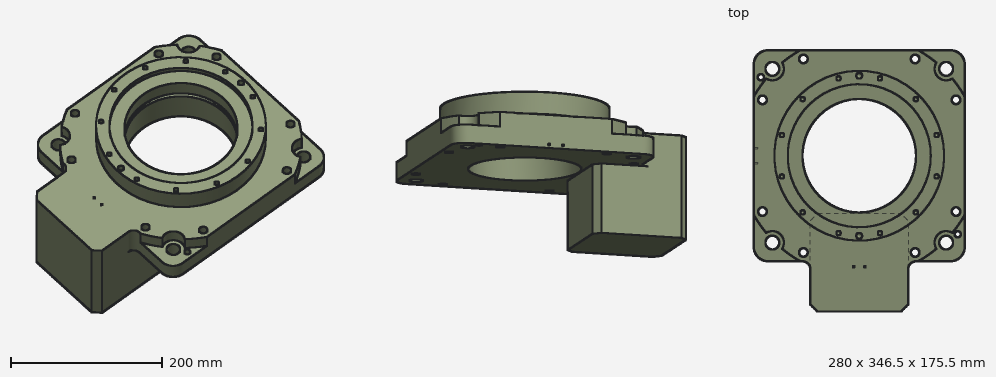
import cadquery as cq
import math


PLATE_SIDE = 280.0
FLANGE_THICKNESS = 25.0
PLATE_THICKNESS = 44.7
PLATE_CORNER_RADIUS = 19.8
BORE_DIAMETER = 150.0

RAISED_RADIUS = 160.0
CORNER_HOLE_OFFSET = 115.0
CORNER_HOLE_DIAMETER = 18.0
CORNER_CLEARANCE_DIAMETER = 30.5

BOLT_HOLE_RADIUS = 148.0
BOLT_HOLE_DIAMETER = 11.0
DOWEL_HOLE_X = 130.3
DOWEL_HOLE_Y = 104.0
DOWEL_HOLE_DIAMETER = 8.0

OVERALL_LENGTH = 346.5
BLOCK_SIDE = 130.0
BLOCK_DROP = 94.0
BLOCK_CHAMFER = 9.7
BLOCK_FILLET = 10.0

DRILL_POINT_ANGLE = 118

TINY_HOLE_DIAMETER = 2.0
TINY_HOLE_DEPTH = 5.2
TOP_TINY_SPACING = 15.0
TOP_TINY_EDGE_DISTANCE = 7.0
SIDE_TINY_SPACING = 19.5
SIDE_TINY_HEIGHT = 5.0

RING_GAP = 7.0
RING_DIAMETER = 225.0
RING_THICKNESS = 29.8
RECESS_DIAMETER = 189.5
RECESS_DEPTH = 7.0
RING_HOLE_RADIUS = 106.0
RING_SCREW_COUNT = 12
RING_SCREW_DIAMETER = 6.0
RING_DOWEL_DIAMETER = 8.0
RING_HOLE_DEPTH = 12.0

HALF_SIDE = PLATE_SIDE / 2
BLOCK_FRONT_Y = HALF_SIDE - OVERALL_LENGTH
BLOCK_CENTER_Y = BLOCK_FRONT_Y + BLOCK_SIDE / 2
RING_BOTTOM = PLATE_THICKNESS + RING_GAP
RING_TOP = RING_BOTTOM + RING_THICKNESS


def cylinder(diameter, bottom, top, points=((0, 0),)):
    """Vertical cylinders between two heights, one at each XY point."""
    return (
        cq.Workplane("XY", origin=(0, 0, bottom))
        .pushPoints(points)
        .circle(diameter / 2)
        .extrude(top - bottom)
    )


def drilled_hole(diameter, depth):
    """Hole going down from the origin, with a conical drill point below its depth."""
    radius = diameter / 2
    tip_depth = radius / math.tan(math.radians(DRILL_POINT_ANGLE / 2))
    return (
        cq.Workplane("XZ")
        .polyline([(0, 0), (radius, 0), (radius, -depth), (0, -depth - tip_depth)])
        .close()
        .revolve(360, (0, 0), (0, 1))
    )


def polar_points(radius, angles):
    """XY points on a circle about the bore axis, at angles in degrees."""
    return [
        (radius * math.cos(math.radians(a)), radius * math.sin(math.radians(a)))
        for a in angles
    ]


def square_points(offset):
    """The four XY points at plus and minus the offset in X and Y."""
    return [(sx * offset, sy * offset) for sx in (-1, 1) for sy in (-1, 1)]


def make_plate_blank():
    """Rounded square plate with its corners cut down to the flange."""
    plate = (
        cq.Workplane("XY")
        .rect(PLATE_SIDE, PLATE_SIDE)
        .extrude(PLATE_THICKNESS)
        .edges("|Z")
        .fillet(PLATE_CORNER_RADIUS)
    )
    corner_cut = (
        cq.Workplane("XY", origin=(0, 0, FLANGE_THICKNESS))
        .rect(PLATE_SIDE, PLATE_SIDE)
        .extrude(PLATE_THICKNESS - FLANGE_THICKNESS)
        .cut(cylinder(2 * RAISED_RADIUS, FLANGE_THICKNESS, PLATE_THICKNESS))
    )
    clearance = cylinder(
        CORNER_CLEARANCE_DIAMETER,
        FLANGE_THICKNESS,
        PLATE_THICKNESS,
        square_points(CORNER_HOLE_OFFSET),
    )
    return plate.cut(corner_cut).cut(clearance)


def make_motor_block():
    """Square block with chamfered vertical edges, flush with the plate top."""
    return (
        cq.Workplane("XY", origin=(0, BLOCK_CENTER_Y, -BLOCK_DROP))
        .rect(BLOCK_SIDE, BLOCK_SIDE)
        .extrude(BLOCK_DROP + PLATE_THICKNESS)
        .edges("|Z")
        .chamfer(BLOCK_CHAMFER)
    )


def make_block_fillets():
    """Concave fillets where the block sides meet the -Y edge of the plate."""
    half_block = BLOCK_SIDE / 2
    fillet_y = -HALF_SIDE - BLOCK_FILLET
    fillet_x = half_block + BLOCK_FILLET
    strip = (
        cq.Workplane("XY")
        .center(0, -HALF_SIDE - BLOCK_FILLET / 2)
        .rect(2 * fillet_x, BLOCK_FILLET)
        .extrude(PLATE_THICKNESS)
    )
    rounds = cylinder(
        2 * BLOCK_FILLET, 0, PLATE_THICKNESS, [(-fillet_x, fillet_y), (fillet_x, fillet_y)]
    )
    return strip.cut(rounds)


def make_plate_holes():
    """Bore, corner holes, bolt holes and dowel holes through the plate."""
    bolt_angles = [quarter + a for quarter in range(0, 360, 90) for a in (30, 60)]
    patterns = (
        (BORE_DIAMETER, [(0, 0)]),
        (CORNER_HOLE_DIAMETER, square_points(CORNER_HOLE_OFFSET)),
        (BOLT_HOLE_DIAMETER, polar_points(BOLT_HOLE_RADIUS, bolt_angles)),
        (DOWEL_HOLE_DIAMETER, [(-DOWEL_HOLE_X, DOWEL_HOLE_Y), (DOWEL_HOLE_X, -DOWEL_HOLE_Y)]),
    )
    return [cylinder(diameter, 0, PLATE_THICKNESS, points) for diameter, points in patterns]


def make_tiny_holes():
    """A pair of tiny blind holes on the block top and another on the -X side."""
    top_y = -HALF_SIDE - TOP_TINY_EDGE_DISTANCE
    downward = drilled_hole(TINY_HOLE_DIAMETER, TINY_HOLE_DEPTH)
    inward = downward.rotate((0, 0, 0), (0, 1, 0), -90)
    holes = []
    for side in (-1, 1):
        holes.append(downward.translate((side * TOP_TINY_SPACING / 2, top_y, PLATE_THICKNESS)))
        holes.append(inward.translate((-HALF_SIDE, side * SIDE_TINY_SPACING / 2, SIDE_TINY_HEIGHT)))
    return holes


def make_housing():
    """Mounting plate and motor block in one piece."""
    housing = make_plate_blank().union(make_motor_block()).union(make_block_fillets())
    for hole in make_plate_holes() + make_tiny_holes():
        housing = housing.cut(hole)
    return housing


def make_ring():
    """Rotary ring with a recessed inner land and a circle of blind holes."""
    ring = cylinder(RING_DIAMETER, RING_BOTTOM, RING_TOP)
    ring = ring.cut(cylinder(BORE_DIAMETER, RING_BOTTOM, RING_TOP))
    ring = ring.cut(cylinder(RECESS_DIAMETER, RING_TOP - RECESS_DEPTH, RING_TOP))

    pitch = 360 / RING_SCREW_COUNT
    screw_angles = [(i + 0.5) * pitch for i in range(RING_SCREW_COUNT)]
    patterns = (
        (RING_SCREW_DIAMETER, screw_angles),
        (RING_DOWEL_DIAMETER, (90, 270)),
    )
    for diameter, angles in patterns:
        hole = drilled_hole(diameter, RING_HOLE_DEPTH)
        for x, y in polar_points(RING_HOLE_RADIUS, angles):
            ring = ring.cut(hole.translate((x, y, RING_TOP)))
    return ring


housing = make_housing()
ring = make_ring()
result = cq.Compound.makeCompound([housing.solids().val(), ring.solids().val()])